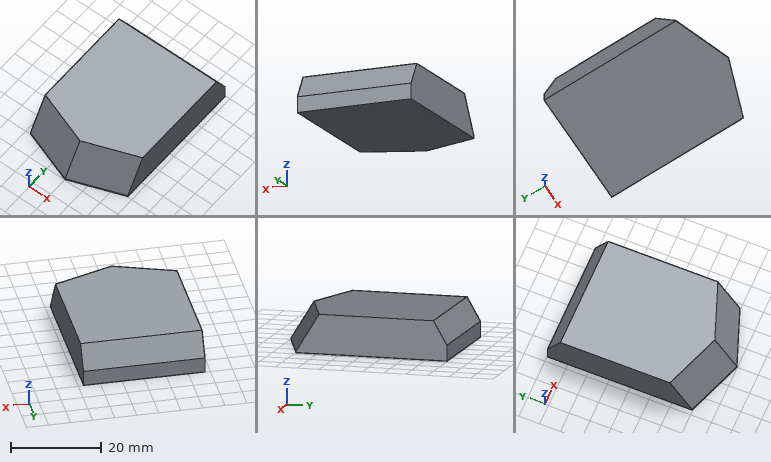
import cadquery as cq
import math

width = 27.6
length = 39.8
height = 9.0

point_angle = 20.0
front_slope = 30.0
lip_height = 0.3

bevel_height = 5.37
bevel_slope = 30.0

half_width = width / 2
back_y = length / 2
tip_y = -length / 2
shoulder_y = tip_y + half_width * math.tan(math.radians(point_angle))

slope_height = height - lip_height
normal_run = slope_height * math.tan(math.radians(front_slope))
front_run = normal_run / math.cos(math.radians(point_angle))
bevel_run = bevel_height * math.tan(math.radians(bevel_slope))


def plan_outline(setback):
    """Pointed plan shape with its front edges moved back along Y."""
    return [
        (-half_width, back_y),
        (-half_width, shoulder_y + setback),
        (0, tip_y + setback),
        (half_width, shoulder_y + setback),
        (half_width, back_y),
    ]


base = cq.Workplane("XY").polyline(plan_outline(0)).close().extrude(lip_height)

body = (
    cq.Workplane("XY", origin=(0, 0, lip_height))
    .polyline(plan_outline(0))
    .close()
    .workplane(offset=slope_height)
    .polyline(plan_outline(front_run))
    .close()
    .loft(ruled=True, combine=True)
)

bevel = (
    cq.Workplane("YZ")
    .polyline([
        (back_y, height),
        (back_y - bevel_run, height),
        (back_y, height - bevel_height),
    ])
    .close()
    .extrude(half_width, both=True)
)

result = base.union(body).cut(bevel).clean()